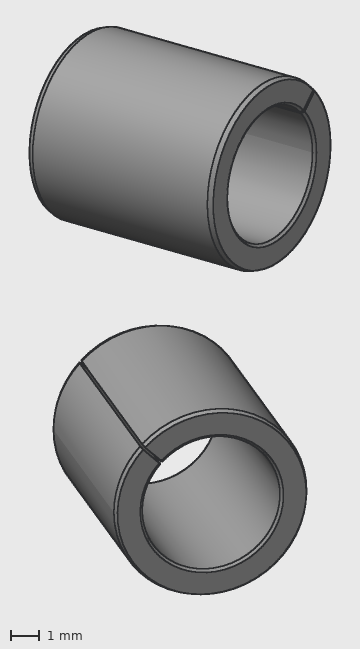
import cadquery as cq
import math

length = 8.0
outer_radius = 3.5
bore_radius = 2.5

outer_chamfer_length = 0.2
outer_chamfer_angle = 20.0
outer_chamfer_depth = outer_chamfer_length * math.tan(math.radians(outer_chamfer_angle))

bore_chamfer = 0.1

slit_width = 0.1
slit_angle = 45.0


def make_sleeve():
    """Revolve the chamfered wall section about the X axis."""
    wall_section = (
        cq.Workplane("XY")
        .moveTo(0, bore_radius + bore_chamfer)
        .lineTo(0, outer_radius - outer_chamfer_depth)
        .lineTo(outer_chamfer_length, outer_radius)
        .lineTo(length - outer_chamfer_length, outer_radius)
        .lineTo(length, outer_radius - outer_chamfer_depth)
        .lineTo(length, bore_radius + bore_chamfer)
        .lineTo(length - bore_chamfer, bore_radius)
        .lineTo(bore_chamfer, bore_radius)
        .close()
    )
    return wall_section.revolve(360, (0, 0, 0), (1, 0, 0))


def make_slit_cutter():
    """Full-length slab from the axis outwards, on the +Y side of the radial plane."""
    reach = outer_radius + slit_width
    slab = cq.Workplane("XY").box(length, reach, slit_width, centered=False)
    slab = slab.translate((0, 0, -slit_width))
    return slab.rotate((0, 0, 0), (1, 0, 0), slit_angle)


result = make_sleeve().cut(make_slit_cutter())